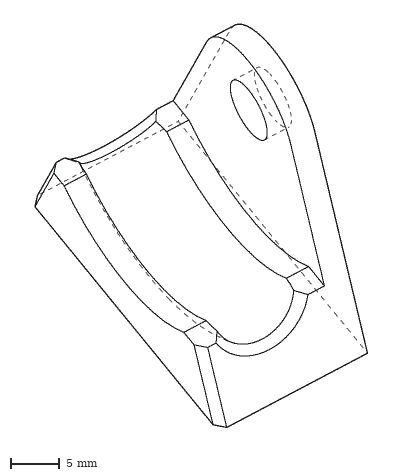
import cadquery as cq
import math

DEPTH = 18.5
PLATE_THICKNESS = 3.0
CRADLE_HEIGHT = 9.9

EYE_RADIUS = 8.5
EYE_HEIGHT = 24.4
HOLE_DIAMETER = 7.0
SIDE_ANGLE = math.radians(20.0)

SADDLE_RADIUS = 18.4
BEND_RADIUS = 18.0
TUBE_RADIUS = 5.0

CORNER_CHAMFER = 1.0
MOUTH_CHAMFER = 1.2

HALF_BASE = EYE_RADIUS / math.cos(SIDE_ANGLE) + EYE_HEIGHT * math.tan(SIDE_ANGLE)
TANGENT_X = EYE_RADIUS * math.cos(SIDE_ANGLE)
TANGENT_Z = EYE_HEIGHT + EYE_RADIUS * math.sin(SIDE_ANGLE)
GROOVE_Y = -(PLATE_THICKNESS + DEPTH) / 2


def lug_plate():
    """Triangular plate with a round top tangent to its sloping sides."""
    outline = (
        cq.Workplane("XZ")
        .moveTo(-HALF_BASE, 0)
        .lineTo(HALF_BASE, 0)
        .lineTo(TANGENT_X, TANGENT_Z)
        .threePointArc((0, EYE_HEIGHT + EYE_RADIUS), (-TANGENT_X, TANGENT_Z))
        .close()
    )
    return outline.extrude(PLATE_THICKNESS)


def eye_hole():
    """Cutter for the hole through the plate."""
    return cq.Workplane("XZ").center(0, EYE_HEIGHT).circle(HOLE_DIAMETER / 2).extrude(PLATE_THICKNESS)


def cradle_block():
    """Block with sloping sides and chamfered front corners."""
    half_top = HALF_BASE - CRADLE_HEIGHT * math.tan(SIDE_ANGLE)
    outline = [(-HALF_BASE, 0), (HALF_BASE, 0), (half_top, CRADLE_HEIGHT), (-half_top, CRADLE_HEIGHT)]
    block = cq.Workplane("XZ").polyline(outline).close().extrude(DEPTH)
    return block.faces("<Y").edges("not |X").chamfer(CORNER_CHAMFER)


def saddle():
    """Cutter that dishes the top of the cradle in front of the plate."""
    return (
        cq.Workplane("XZ", origin=(0, -PLATE_THICKNESS, 0))
        .center(0, EYE_HEIGHT)
        .circle(SADDLE_RADIUS)
        .extrude(DEPTH - PLATE_THICKNESS)
    )


def tube_groove():
    """Torus cutter for the bent round groove along the saddle."""
    axis_point = cq.Vector(0, GROOVE_Y, EYE_HEIGHT)
    torus = cq.Solid.makeTorus(BEND_RADIUS, TUBE_RADIUS, axis_point, cq.Vector(0, 1, 0))
    return cq.Workplane(torus)


def cradle():
    """Block, dished and grooved, with chamfered groove mouths."""
    body = cradle_block().cut(tube_groove())
    for side in (-1, 1):
        mouth_centre = (side * HALF_BASE, GROOVE_Y, CRADLE_HEIGHT)
        mouth = cq.selectors.NearestToPointSelector(mouth_centre)
        body = body.edges("not %LINE").edges(mouth).chamfer(MOUTH_CHAMFER)
    return body.cut(saddle())


result = lug_plate().union(cradle()).cut(eye_hole())